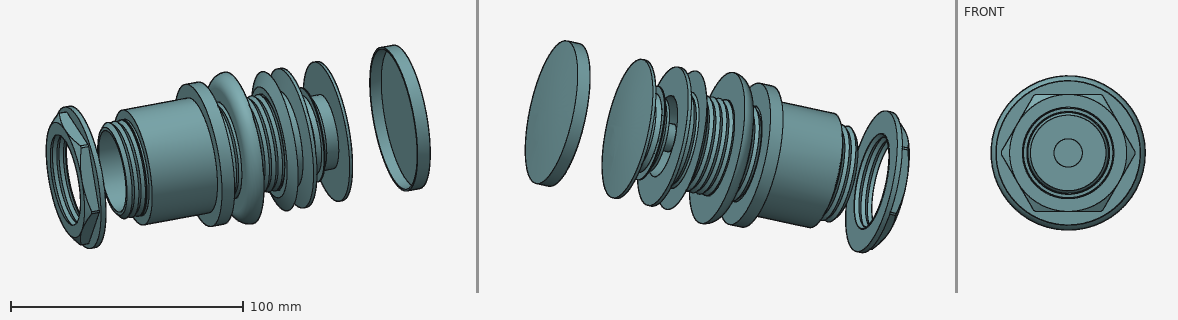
import cadquery as cq
import math

TOTAL_LENGTH = 156.5

TWELVE_TURNS_LENGTH = 36.0
THREAD_PITCH = TWELVE_TURNS_LENGTH / 12
CREST_RADIUS = 21.1
ROOT_RADIUS = 19.7

CAP_RADIUS = 31.5
CAP_DOME_RISE = 1.1
CAP_RIM_Y = 149.6
CAP_WALL = 0.8
CAP_FLOOR_Y = 154.7

HEAD_RADIUS = 30.5
PLUG_TOP_Y = 122.1
PLUG_DOME_RISE = 1.7
HEAD_UNDERSIDE_Y = 119.0
PLUG_RADIUS = 16.3
PLUG_BOTTOM_Y = 107.2
RING_RADIUS = 20.7
RING_THICKNESS = 0.5
RING_Y = 111.0
RING_SEAT_RADIUS = 17.4
RING_SEAT_HALF_WIDTH = 2.5
NECK_RADIUS = 4.7
STEM_RADIUS = 6.1
STEM_TOP_Y = 106.5
STEM_LENGTH = 6.3

FLANGE_TOP_Y = 104.1
FLANGE_RIM_THICKNESS = 1.5
FLANGE_CONE_DROP = 1.5
BORE_RADIUS = 17.8
UPPER_THREAD_TOP_Y = 97.7
UPPER_THREAD_CRESTS = 13
LOWER_THREAD_TOP_Y = 29.9
LOWER_THREAD_END_CREST_Y = 23.2
LOWER_THREAD_CRESTS = 3
BODY_END_Y = 21.5
BODY_END_RADIUS = 19.3

WASHER_TOP_Y = 95.5
WASHER_BOTTOM_Y = 92.7
WASHER_BOTTOM_RADIUS = 24.3

SEAL_TOP_Y = 79.0
SEAL_THICKNESS = 6.0
SEAL_DIAMETER = 66.5
SEAL_RADIUS = SEAL_DIAMETER / 2

SLEEVE_FLANGE_RADIUS = 31.1
SLEEVE_TOP_Y = 66.4
SLEEVE_FLANGE_BOTTOM_Y = 60.5
SLEEVE_RADIUS = 25.2
SLEEVE_BOTTOM_Y = 30.8

NUT_FLANGE_RADIUS = 31.0
NUT_TOP_Y = 7.8
NUT_HEX_TOP_Y = 5.5
HEX_INRADIUS = 25.2
HEX_CORNER_RADIUS = 28.8
HEX_CHAMFER_HEIGHT = 2.0


def revolve_profile(points):
    """Solid of revolution about the Y axis from a closed (radius, y) polygon."""
    return revolve_wire(cq.Workplane("XY").polyline(points))


def revolve_wire(outline):
    """Close an open (radius, y) outline and turn it about the Y axis."""
    return outline.close().revolve(360, (0, 0, 0), (0, 1, 0))


def dome_midpoint(radius, apex_y, rise):
    """Point halfway out along a shallow spherical dome."""
    sphere_radius = (radius ** 2 + rise ** 2) / (2 * rise)
    half = radius / 2
    return half, apex_y - sphere_radius + math.sqrt(sphere_radius ** 2 - half ** 2)


def make_cap():
    inner_radius = CAP_RADIUS - CAP_WALL
    outline = (
        cq.Workplane("XY")
        .moveTo(0, CAP_FLOOR_Y)
        .lineTo(inner_radius, CAP_FLOOR_Y)
        .lineTo(inner_radius, CAP_RIM_Y)
        .lineTo(CAP_RADIUS, CAP_RIM_Y)
        .lineTo(CAP_RADIUS, TOTAL_LENGTH - CAP_DOME_RISE)
        .threePointArc(dome_midpoint(CAP_RADIUS, TOTAL_LENGTH, CAP_DOME_RISE), (0, TOTAL_LENGTH))
    )
    return revolve_wire(outline)


def make_plug():
    ring_top = RING_Y + RING_THICKNESS / 2
    ring_bottom = RING_Y - RING_THICKNESS / 2
    stem_bottom = STEM_TOP_Y - STEM_LENGTH
    outline = (
        cq.Workplane("XY")
        .moveTo(0, stem_bottom)
        .lineTo(STEM_RADIUS, stem_bottom)
        .lineTo(STEM_RADIUS, STEM_TOP_Y)
        .lineTo(NECK_RADIUS, STEM_TOP_Y)
        .lineTo(NECK_RADIUS, PLUG_BOTTOM_Y)
        .lineTo(PLUG_RADIUS, PLUG_BOTTOM_Y)
        .lineTo(PLUG_RADIUS, RING_Y - RING_SEAT_HALF_WIDTH)
        .lineTo(RING_SEAT_RADIUS, ring_bottom)
        .lineTo(RING_RADIUS, ring_bottom)
        .lineTo(RING_RADIUS, ring_top)
        .lineTo(RING_SEAT_RADIUS, ring_top)
        .lineTo(PLUG_RADIUS, RING_Y + RING_SEAT_HALF_WIDTH)
        .lineTo(PLUG_RADIUS, HEAD_UNDERSIDE_Y)
        .lineTo(HEAD_RADIUS, HEAD_UNDERSIDE_Y)
        .lineTo(HEAD_RADIUS, PLUG_TOP_Y - PLUG_DOME_RISE)
        .threePointArc(dome_midpoint(HEAD_RADIUS, PLUG_TOP_Y, PLUG_DOME_RISE), (0, PLUG_TOP_Y))
    )
    return revolve_wire(outline)


def make_drain_body():
    half_pitch = THREAD_PITCH / 2
    flange_rim_y = FLANGE_TOP_Y - FLANGE_RIM_THICKNESS
    points = [
        (BORE_RADIUS, FLANGE_TOP_Y),
        (HEAD_RADIUS, FLANGE_TOP_Y),
        (HEAD_RADIUS, flange_rim_y),
        (CREST_RADIUS, flange_rim_y - FLANGE_CONE_DROP),
    ]

    for turn in range(UPPER_THREAD_CRESTS):
        crest_y = UPPER_THREAD_TOP_Y - turn * THREAD_PITCH
        points.append((CREST_RADIUS, crest_y))
        if turn < UPPER_THREAD_CRESTS - 1:
            points.append((ROOT_RADIUS, crest_y - half_pitch))

    first_crest_y = LOWER_THREAD_END_CREST_Y + (LOWER_THREAD_CRESTS - 1) * THREAD_PITCH
    flank_slope = (CREST_RADIUS - ROOT_RADIUS) / half_pitch
    step_radius = CREST_RADIUS - flank_slope * (LOWER_THREAD_TOP_Y - first_crest_y)
    points.append((CREST_RADIUS, LOWER_THREAD_TOP_Y))
    points.append((step_radius, LOWER_THREAD_TOP_Y))

    for turn in range(LOWER_THREAD_CRESTS):
        crest_y = first_crest_y - turn * THREAD_PITCH
        points.append((CREST_RADIUS, crest_y))
        if turn < LOWER_THREAD_CRESTS - 1:
            points.append((ROOT_RADIUS, crest_y - half_pitch))
    points.append((BODY_END_RADIUS, BODY_END_Y))
    points.append((BORE_RADIUS, BODY_END_Y))
    return revolve_profile(points)


def make_conical_washer():
    return revolve_profile([
        (CREST_RADIUS, WASHER_TOP_Y),
        (HEAD_RADIUS, WASHER_TOP_Y),
        (WASHER_BOTTOM_RADIUS, WASHER_BOTTOM_Y),
        (CREST_RADIUS, WASHER_BOTTOM_Y),
    ])


def make_seal():
    bottom_y = SEAL_TOP_Y - SEAL_THICKNESS
    flat_radius = SEAL_RADIUS - SEAL_THICKNESS
    diagonal = SEAL_THICKNESS * math.sqrt(0.5)
    outline = (
        cq.Workplane("XY")
        .moveTo(CREST_RADIUS, SEAL_TOP_Y)
        .lineTo(SEAL_RADIUS, SEAL_TOP_Y)
        .threePointArc((flat_radius + diagonal, SEAL_TOP_Y - diagonal), (flat_radius, bottom_y))
        .lineTo(CREST_RADIUS, bottom_y)
    )
    return revolve_wire(outline)


def make_sleeve():
    return revolve_profile([
        (CREST_RADIUS, SLEEVE_TOP_Y),
        (SLEEVE_FLANGE_RADIUS, SLEEVE_TOP_Y),
        (SLEEVE_FLANGE_RADIUS, SLEEVE_FLANGE_BOTTOM_Y),
        (SLEEVE_RADIUS, SLEEVE_FLANGE_BOTTOM_Y),
        (SLEEVE_RADIUS, SLEEVE_BOTTOM_Y),
        (CREST_RADIUS, SLEEVE_BOTTOM_Y),
    ])


def make_nut():
    flange = revolve_profile([
        (0, NUT_HEX_TOP_Y),
        (NUT_FLANGE_RADIUS, NUT_HEX_TOP_Y),
        (NUT_FLANGE_RADIUS, NUT_TOP_Y),
        (0, NUT_TOP_Y),
    ])

    hex_diameter = 2 * HEX_INRADIUS / math.cos(math.pi / 6)
    hexagon = cq.Workplane("XZ").polygon(6, hex_diameter).extrude(-NUT_TOP_Y)
    turned_blank = revolve_profile([
        (0, 0),
        (HEX_INRADIUS, 0),
        (HEX_CORNER_RADIUS, HEX_CHAMFER_HEIGHT),
        (HEX_CORNER_RADIUS, NUT_TOP_Y),
        (0, NUT_TOP_Y),
    ])
    nut = flange.union(hexagon.intersect(turned_blank))

    bore_points = [(0, 0), (ROOT_RADIUS, 0)]
    groove_count = math.ceil(NUT_TOP_Y / THREAD_PITCH)
    for turn in range(groove_count):
        groove_y = (turn + 0.5) * THREAD_PITCH
        bore_points.append((CREST_RADIUS, groove_y))
        bore_points.append((ROOT_RADIUS, (turn + 1) * THREAD_PITCH))
    bore_points.append((0, groove_count * THREAD_PITCH))
    return nut.cut(revolve_profile(bore_points))


cap = make_cap()
plug = make_plug()
drain_body = make_drain_body()
conical_washer = make_conical_washer()
seal = make_seal()
sleeve = make_sleeve()
nut = make_nut()

result = cq.Compound.makeCompound([
    cap.val(),
    plug.val(),
    drain_body.val(),
    conical_washer.val(),
    seal.val(),
    sleeve.val(),
    nut.val(),
])